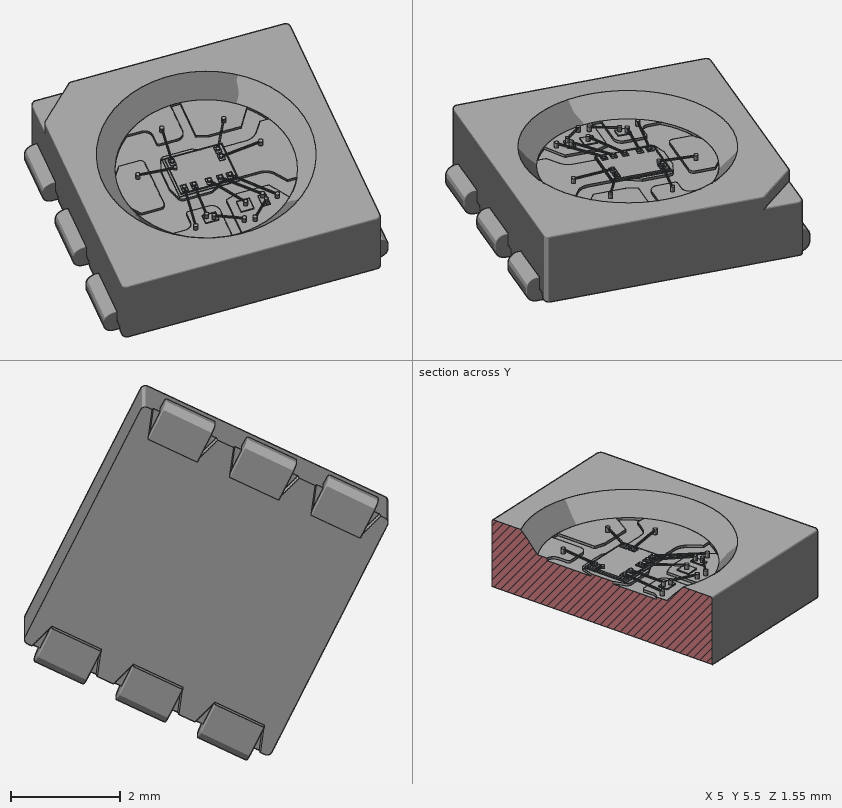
import cadquery as cq
import math

BODY_SIZE = 5.0
BODY_BOTTOM = 0.15
BODY_TOP = 1.55
BODY_HEIGHT = BODY_TOP - BODY_BOTTOM
SIDE_EDGE_RADIUS = 0.1
TOP_EDGE_RADIUS = 0.05
HALF_BODY = BODY_SIZE / 2

MARK_LEG = 0.75
MARK_DEPTH = 0.25

CUP_TOP_RADIUS = 2.0
CUP_BOTTOM_RADIUS = 1.66
CUP_DEPTH = 0.4
LAND_HEIGHT = 0.05
LAND_TOP = BODY_TOP - CUP_DEPTH
CUP_FLOOR = LAND_TOP - LAND_HEIGHT
LAND_OVERRUN = 2.0

SIDE_LAND_HALF_GAP = 0.093
UPPER_LAND_INNER_X = 0.745
LOWER_LAND_INNER_X = 0.85
LOWER_LAND_NECK_X = 1.25
LOWER_LAND_TOP_RADIUS = 0.165
LOWER_LAND_NECK_RADIUS = 0.16
LOWER_LAND_INNER_RADIUS = 0.045
RIGHT_SHOULDER_Y = -0.7
LEFT_SHOULDER_Y = -0.64
PADDLE_NECK_X = 0.39
PADDLE_NECK_RADIUS = 0.3
PADDLE_HEAD_X = 0.54
PADDLE_HEAD_RADIUS = 0.1
BOTTOM_LAND_X = 0.6
BOTTOM_LAND_RADIUS = 0.09

TERMINAL_PITCH = 1.65
TERMINAL_WIDTH = 1.0
TERMINAL_HEIGHT = 0.5
TERMINAL_REACH = 2.75
TERMINAL_BEND_RADIUS = 0.2
TERMINAL_EDGE_RADIUS = 0.02
FOOT_INNER_END = 2.0

RELIEF_HEIGHT = 0.1
RELIEF_FACE_WIDTH = 1.33
RELIEF_TAPER = 15
RELIEF_OVERRUN = 0.1

CHIP_BASE_X = (-0.475, 0.475)
CHIP_BASE_Y = (-0.685, 0.475)
CHIP_BASE_HEIGHT = 0.015
CHIP_DIE_X = (-0.435, 0.435)
CHIP_DIE_Y = (-0.645, 0.455)
CHIP_DIE_HEIGHT = 0.03
CHIP_TOP = LAND_TOP + CHIP_BASE_HEIGHT + CHIP_DIE_HEIGHT
BOND_PAD_LENGTH = 0.15
BOND_PAD_WIDTH = 0.11
BOND_PAD_HEIGHT = 0.01

EMITTERS = [
    (1.065, 0.735, 0.26, 0.15),
    (1.065, 0.37, 0.26, 0.25),
    (1.135, -0.325, 0.195, 0.26),
]
EMITTER_HEIGHT = 0.02
EMITTER_TOP = LAND_TOP + EMITTER_HEIGHT

POST_RADIUS = 0.04
POST_HEIGHT = 0.1
FOOT_RADIUS = 0.035
FOOT_HEIGHT = 0.05
WIRE_SIZE = 0.025

PAD_LEFT_X = -0.32
PAD_RIGHT_X = 0.335
PAD_TOP_Y = 0.34
PAD_BOTTOM_Y = -0.545
PAD_UPPER_MIDDLE = (-0.132, PAD_TOP_Y)
BARE_LOWER_MIDDLE = (-0.16, PAD_BOTTOM_Y)
PAD_UPPER_LEFT = (PAD_LEFT_X, PAD_TOP_Y)
PAD_LOWER_LEFT = (PAD_LEFT_X, PAD_BOTTOM_Y)
PADS_RIGHT = [(PAD_RIGHT_X, y) for y in (PAD_TOP_Y, 0.155, -0.063, -0.355, PAD_BOTTOM_Y)]
BOND_PADS = [PAD_UPPER_LEFT, PAD_UPPER_MIDDLE, PAD_LOWER_LEFT] + PADS_RIGHT

CHIP_WIRES = [
    ((-0.962, 0.686), PAD_UPPER_LEFT, LAND_TOP),
    ((-0.2226, 1.134), PAD_UPPER_MIDDLE, LAND_TOP),
    ((1.07, 0.99), PADS_RIGHT[0], LAND_TOP),
    ((0.986, 0.734), PADS_RIGHT[1], EMITTER_TOP),
    ((1.06, 0.379), PADS_RIGHT[2], EMITTER_TOP),
    ((1.104, -0.394), PADS_RIGHT[3], EMITTER_TOP),
    ((1.281, -0.665), PADS_RIGHT[4], LAND_TOP),
    ((-1.125, -0.454), PAD_LOWER_LEFT, LAND_TOP),
    ((-0.2226, -1.242), BARE_LOWER_MIDDLE, LAND_TOP),
]
EMITTER_WIRES = [
    ((1.131, 0.755), (1.453, 0.424)),
    ((1.176, -0.274), (1.4075, 0.229)),
]


def block(x_range, y_range, bottom, height):
    """Upright box between two X and two Y limits."""
    length = x_range[1] - x_range[0]
    width = y_range[1] - y_range[0]
    box = cq.Workplane("XY").box(length, width, height, centered=False)
    return box.translate((x_range[0], y_range[0], bottom))


def centred_block(centre, length, width, bottom, height):
    box = cq.Workplane("XY").box(length, width, height, centered=(True, True, False))
    return box.translate((centre[0], centre[1], bottom))


def disc(centre, radius, bottom, height):
    return cq.Workplane("XY", origin=(centre[0], centre[1], bottom)).circle(radius).extrude(height)


def make_housing():
    """Square base up to the corner mark's floor, joined to a crown that leaves the marked corner out."""
    floor_height = BODY_HEIGHT - MARK_DEPTH
    base = centred_block((0, 0), BODY_SIZE, BODY_SIZE, BODY_BOTTOM, floor_height)
    base = base.edges("|Z").fillet(SIDE_EDGE_RADIUS)
    base = base.faces(">Z").edges().fillet(TOP_EDGE_RADIUS)

    mark_end = MARK_LEG - HALF_BODY
    crown = (
        cq.Workplane("XY", origin=(0, 0, BODY_BOTTOM))
        .polyline([
            (mark_end, -HALF_BODY),
            (HALF_BODY, -HALF_BODY),
            (HALF_BODY, HALF_BODY),
            (-HALF_BODY, HALF_BODY),
            (-HALF_BODY, mark_end),
        ])
        .close()
        .extrude(BODY_HEIGHT)
    )
    crown = crown.edges("|Z").fillet(SIDE_EDGE_RADIUS)
    crown = crown.faces(">Z").edges().fillet(TOP_EDGE_RADIUS)
    return base.union(crown)


def make_cup():
    """Conical cavity with a short straight wall down to the floor."""
    profile = [
        (0, CUP_FLOOR),
        (CUP_BOTTOM_RADIUS, CUP_FLOOR),
        (CUP_BOTTOM_RADIUS, LAND_TOP),
        (CUP_TOP_RADIUS, BODY_TOP),
        (0, BODY_TOP),
    ]
    return cq.Workplane("YZ").polyline(profile).close().revolve(360, (0, 0, 0), (0, 1, 0))


def rounded_outline(corners):
    """Closed wire through (x, y, radius) corners, each rounded by a tangent arc of its radius."""
    path = None
    count = len(corners)
    for i, (x, y, radius) in enumerate(corners):
        corner = cq.Vector(x, y)
        back = (cq.Vector(*corners[i - 1][:2]) - corner).normalized()
        ahead = (cq.Vector(*corners[(i + 1) % count][:2]) - corner).normalized()
        half_angle = back.getAngle(ahead) / 2
        setback = radius / math.tan(half_angle)
        arc_start = corner + back * setback
        arc_end = corner + ahead * setback
        if path is None:
            path = cq.Workplane("XY", origin=(0, 0, CUP_FLOOR)).moveTo(arc_start.x, arc_start.y)
        else:
            path = path.lineTo(arc_start.x, arc_start.y)
        if radius > 0:
            bisector = (back + ahead).normalized()
            arc_middle = corner + bisector * (radius / math.sin(half_angle) - radius)
            path = path.threePointArc((arc_middle.x, arc_middle.y), (arc_end.x, arc_end.y))
    return path.close()


def mirrored(half):
    """Full outline from its +X half, listed from top to bottom."""
    return half + [(-x, y, radius) for x, y, radius in reversed(half)]


def flipped(corners):
    """Outline moved to the -X side."""
    return [(-x, y, radius) for x, y, radius in corners]


def lower_side_land(shoulder):
    """Land on the +X side; shoulder is the Y of the step out to its neck."""
    return [
        (LAND_OVERRUN, -SIDE_LAND_HALF_GAP, 0),
        (LOWER_LAND_INNER_X, -SIDE_LAND_HALF_GAP, LOWER_LAND_TOP_RADIUS),
        (LOWER_LAND_INNER_X, shoulder, LOWER_LAND_INNER_RADIUS),
        (LOWER_LAND_NECK_X, shoulder, LOWER_LAND_NECK_RADIUS),
        (LOWER_LAND_NECK_X, -LAND_OVERRUN, 0),
        (LAND_OVERRUN, -LAND_OVERRUN, 0),
    ]


def make_lands():
    """Lead-frame lands standing up from the cup floor, trimmed by the cup wall."""
    paddle = mirrored([
        (UPPER_LAND_INNER_X, LAND_OVERRUN, 0),
        (UPPER_LAND_INNER_X, 1.305, 0),
        (PADDLE_NECK_X, 1.06, PADDLE_NECK_RADIUS),
        (PADDLE_NECK_X, 0.2, 0),
        (PADDLE_HEAD_X, -0.09, 0),
        (PADDLE_HEAD_X, -0.69, PADDLE_HEAD_RADIUS),
        (0.225, -0.79, 0),
    ])
    bottom_land = mirrored([
        (BOTTOM_LAND_X, -1.0, BOTTOM_LAND_RADIUS),
        (BOTTOM_LAND_X, -1.477, 0),
        (0.3, -1.69, 0),
    ])
    upper_land = [
        (LAND_OVERRUN, SIDE_LAND_HALF_GAP, 0),
        (0.82, SIDE_LAND_HALF_GAP, 0),
        (UPPER_LAND_INNER_X, 0.313, 0),
        (UPPER_LAND_INNER_X, 0.944, 0),
        (LAND_OVERRUN, 1.74, 0),
    ]
    outlines = [
        paddle,
        bottom_land,
        upper_land,
        flipped(upper_land),
        lower_side_land(RIGHT_SHOULDER_Y),
        flipped(lower_side_land(LEFT_SHOULDER_Y)),
    ]
    cup_floor = disc((0, 0), CUP_BOTTOM_RADIUS, CUP_FLOOR, LAND_HEIGHT)
    return [rounded_outline(outline).extrude(LAND_HEIGHT).intersect(cup_floor) for outline in outlines]


def make_chips():
    """Driver chip with its bond pads, and the emitter chips."""
    solids = [
        block(CHIP_BASE_X, CHIP_BASE_Y, LAND_TOP, CHIP_BASE_HEIGHT),
        block(CHIP_DIE_X, CHIP_DIE_Y, LAND_TOP + CHIP_BASE_HEIGHT, CHIP_DIE_HEIGHT),
    ]
    for centre in BOND_PADS:
        solids.append(centred_block(centre, BOND_PAD_LENGTH, BOND_PAD_WIDTH, CHIP_TOP, BOND_PAD_HEIGHT))
    for x, y, length, width in EMITTERS:
        solids.append(centred_block((x, y), length, width, LAND_TOP, EMITTER_HEIGHT))
    return solids


def make_wire(start, end):
    """Straight square wire between two points, with its sides upright."""
    origin = cq.Vector(*start)
    span = cq.Vector(*end) - origin
    level = cq.Vector(0, 0, 1).cross(span)
    section = cq.Plane(origin=origin, xDir=level, normal=span)
    return cq.Workplane(section).rect(WIRE_SIZE, WIRE_SIZE).extrude(span.Length)


def make_bond(post, post_base, foot, foot_base, foot_height):
    """Post and foot joined by a wire that runs just below their tops."""
    wire_start = (post[0], post[1], post_base + POST_HEIGHT - WIRE_SIZE)
    wire_end = (foot[0], foot[1], foot_base + foot_height - WIRE_SIZE)
    return [
        disc(post, POST_RADIUS, post_base, POST_HEIGHT),
        disc(foot, FOOT_RADIUS, foot_base, foot_height),
        make_wire(wire_start, wire_end),
    ]


def make_bonds():
    """All wires with their posts and feet."""
    solids = []
    for post, place, base in CHIP_WIRES:
        solids += make_bond(post, base, place, CHIP_TOP, FOOT_HEIGHT)
    for emitter_end, frame_end in EMITTER_WIRES:
        solids += make_bond(frame_end, LAND_TOP, emitter_end, EMITTER_TOP, POST_HEIGHT)
    return solids


def make_terminal(x):
    """Terminal on the -Y side: a rounded end outside the wall and a foot under the housing."""
    r = TERMINAL_BEND_RADIUS
    half_turn = r * (1 - math.sqrt(0.5))
    tip = -TERMINAL_REACH
    relief_top = BODY_BOTTOM + RELIEF_HEIGHT
    profile = (
        cq.Workplane("YZ", origin=(x - TERMINAL_WIDTH / 2, 0, 0))
        .moveTo(-FOOT_INNER_END, 0)
        .lineTo(tip + r, 0)
        .threePointArc((tip + half_turn, half_turn), (tip, r))
        .lineTo(tip, TERMINAL_HEIGHT - r)
        .threePointArc((tip + half_turn, TERMINAL_HEIGHT - half_turn), (tip + r, TERMINAL_HEIGHT))
        .lineTo(-HALF_BODY, TERMINAL_HEIGHT)
        .lineTo(-HALF_BODY, relief_top)
        .lineTo(-FOOT_INNER_END, relief_top)
        .close()
    )
    terminal = profile.extrude(TERMINAL_WIDTH)
    outer_face = cq.selectors.BoxSelector(
        (x - TERMINAL_WIDTH, tip - r, -r),
        (x + TERMINAL_WIDTH, -HALF_BODY, TERMINAL_HEIGHT + r),
    )
    rounded = terminal.edges(outer_face).edges("%CIRCLE")
    return rounded.fillet(TERMINAL_EDGE_RADIUS)


def make_relief(x):
    """Pocket in the housing underside, narrowing from the -Y wall to the terminal's inner end."""
    half_face = RELIEF_FACE_WIDTH / 2
    half_end = TERMINAL_WIDTH / 2
    face = -HALF_BODY - RELIEF_OVERRUN
    return (
        cq.Workplane("XY", origin=(x, 0, BODY_BOTTOM))
        .polyline([
            (-half_face, face),
            (half_face, face),
            (half_face, -HALF_BODY),
            (half_end, -FOOT_INNER_END),
            (-half_end, -FOOT_INNER_END),
            (-half_face, -HALF_BODY),
        ])
        .close()
        .extrude(RELIEF_HEIGHT, taper=RELIEF_TAPER)
    )


def make_part():
    housing = make_housing().cut(make_cup())
    terminals = []
    for x in (-TERMINAL_PITCH, 0, TERMINAL_PITCH):
        relief = make_relief(x)
        terminal = make_terminal(x)
        housing = housing.cut(relief).cut(relief.mirror("XZ"))
        terminals += [terminal, terminal.mirror("XZ")]

    part = housing
    for solid in terminals + make_lands() + make_chips() + make_bonds():
        part = part.union(solid)
    return part


result = make_part()